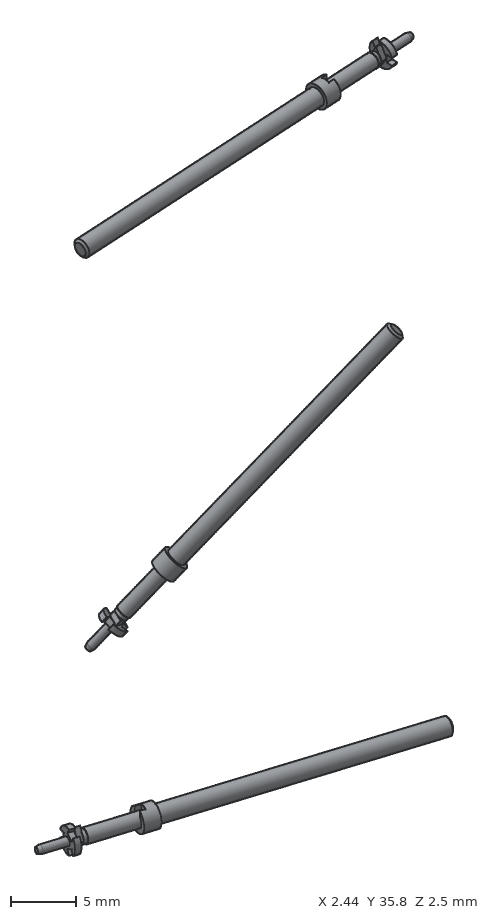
import cadquery as cq
import math

barrel_end = 25.55
collar_end = 27.05
shaft_end = 31.65
neck_end = 32.0
drive_end = 32.55
flange_end = 33.1
pin_end = 35.8

barrel_radius = 0.82
collar_radius = 1.15
shaft_radius = 0.68
neck_radius = 0.6
flange_radius = 1.25
pin_radius = 0.4

barrel_bevel_length = 0.18
barrel_bevel_width = 0.233
pin_bevel_length = 0.35
pin_bevel_width = 0.1

drive_half_width = 0.6
drive_half_height = 1.1

slot_count = 3
slot_half_angle = 18.0
slot_floor = 0.65

notch_width = 0.75
notch_length = 0.55


def cylinder(start, end, radius):
    """Solid cylinder along +Y between two stations."""
    workplane = cq.Workplane("XZ", origin=(0, start, 0))
    return workplane.circle(radius).extrude(start - end)


def barrel():
    profile = [
        (0, 0),
        (barrel_radius - barrel_bevel_width, 0),
        (barrel_radius, barrel_bevel_length),
        (barrel_radius, barrel_end),
        (0, barrel_end),
    ]
    return cq.Workplane("XY").polyline(profile).close().revolve(360, (0, 0), (0, 1))


def collar():
    ring = cylinder(barrel_end, collar_end, collar_radius)
    notch = cq.Workplane("XY").box(
        notch_width, notch_length, collar_radius, centered=(True, False, False)
    )
    return ring.cut(notch.translate((0, collar_end - notch_length, 0)))


def drive():
    diamond = [
        (drive_half_width, 0),
        (0, drive_half_height),
        (-drive_half_width, 0),
        (0, -drive_half_height),
    ]
    workplane = cq.Workplane("XZ", origin=(0, neck_end, 0))
    return workplane.polyline(diamond).close().extrude(neck_end - drive_end)


def flange():
    disc = cylinder(drive_end, flange_end, flange_radius)
    slot_width = 2 * flange_radius * math.sin(math.radians(slot_half_angle))
    slot = cq.Workplane("XY").box(
        flange_radius, flange_end - drive_end, slot_width, centered=(False, False, True)
    ).translate((slot_floor, drive_end, 0))
    for index in range(slot_count):
        angle = index * 360 / slot_count
        disc = disc.cut(slot.rotate((0, 0, 0), (0, 1, 0), angle))
    return disc


def pin():
    profile = [
        (0, flange_end),
        (pin_radius, flange_end),
        (pin_radius, pin_end - pin_bevel_length),
        (pin_radius - pin_bevel_width, pin_end),
        (0, pin_end),
    ]
    return cq.Workplane("XY").polyline(profile).close().revolve(360, (0, 0), (0, 1))


shaft = cylinder(barrel_end, shaft_end, shaft_radius)
neck = cylinder(shaft_end, neck_end, neck_radius)

result = barrel()
for section in (collar(), shaft, neck, drive(), flange(), pin()):
    result = result.union(section)